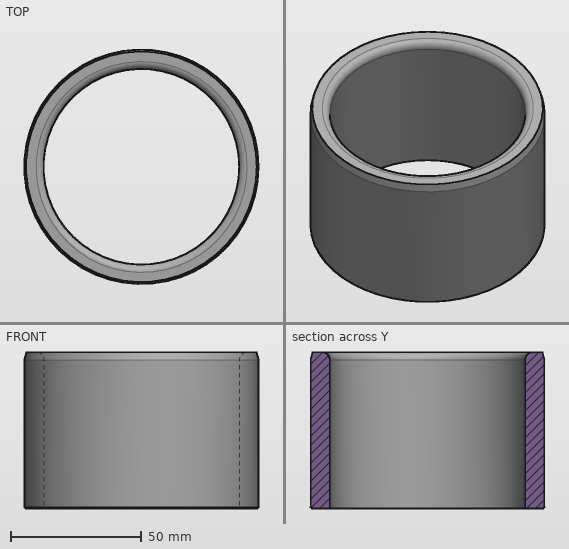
import cadquery as cq
import math

outer_diameter = 90.0
bore_diameter = 75.0
height = 60.0

lead_in_height = 3.0
lead_in_angle = 15.0
bore_round_radius = 3.0
bottom_chamfer = 0.5

outer_radius = outer_diameter / 2
bore_radius = bore_diameter / 2
lead_in_depth = lead_in_height * math.tan(math.radians(lead_in_angle))

tube = cq.Workplane("XY").circle(outer_radius).circle(bore_radius).extrude(height)

tube = tube.faces(">Z").edges(cq.selectors.RadiusNthSelector(0)).fillet(bore_round_radius)

tube = tube.faces("<Z").edges(cq.selectors.RadiusNthSelector(-1)).chamfer(bottom_chamfer)

lead_in_cutter = (
    cq.Workplane("XZ")
    .moveTo(outer_radius, height - lead_in_height)
    .lineTo(outer_radius, height)
    .lineTo(outer_radius - lead_in_depth, height)
    .close()
    .revolve(360, (0, 0, 0), (0, 1, 0))
)

result = tube.cut(lead_in_cutter)